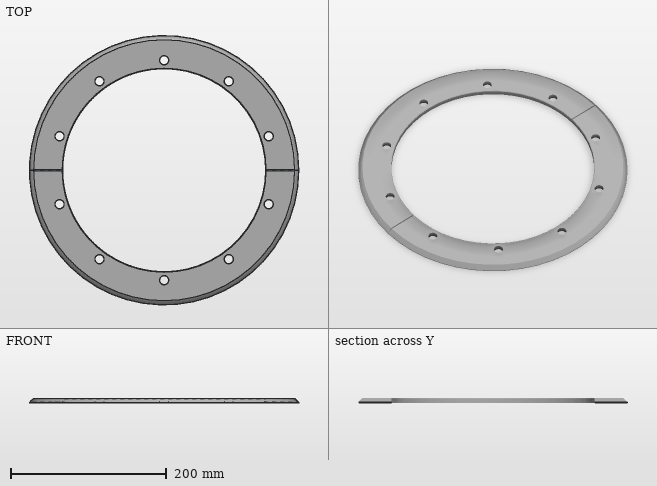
import cadquery as cq

outer_diameter = 346.0
bore_diameter = 260.5
thickness = 6.2
rim_height = 1.0
bevel_width = 5.5
bore_chamfer = 0.7

hole_count = 10
hole_diameter = 11.5
bolt_circle_diameter = 282.5
first_hole_angle = 90

groove_width = 1.5
groove_depth = 4.5

outer_radius = outer_diameter / 2
bore_radius = bore_diameter / 2


def bevelled_ring():
    """Revolve the ring section: chamfered bore, low rim and bevelled upper edge."""
    return (
        cq.Workplane("XZ")
        .moveTo(bore_radius, 0)
        .lineTo(outer_radius, 0)
        .lineTo(outer_radius, rim_height)
        .lineTo(outer_radius - bevel_width, thickness)
        .lineTo(bore_radius + bore_chamfer, thickness)
        .lineTo(bore_radius, thickness - bore_chamfer)
        .close()
        .revolve(360, (0, 0, 0), (0, 1, 0))
    )


def bolt_holes():
    """Cylinders that pass through the ring at each bolt position."""
    return (
        cq.Workplane("XY")
        .polarArray(bolt_circle_diameter / 2, first_hole_angle, 360, hole_count)
        .circle(hole_diameter / 2)
        .extrude(thickness)
    )


def joint_groove():
    """V-shaped cutter running across the whole ring along X."""
    return (
        cq.Workplane("YZ")
        .moveTo(-groove_width / 2, thickness)
        .lineTo(groove_width / 2, thickness)
        .lineTo(0, thickness - groove_depth)
        .close()
        .extrude(outer_radius, both=True)
    )


result = bevelled_ring().cut(bolt_holes()).cut(joint_groove())